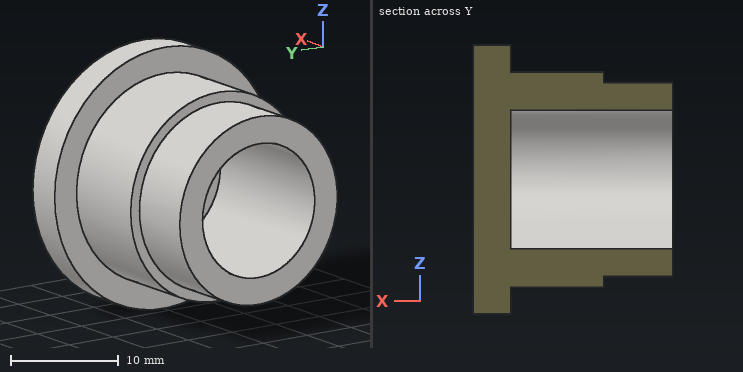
import cadquery as cq

flange_diameter = 25.0
body_diameter = 20.0
nose_diameter = 18.0
bore_diameter = 12.8

total_length = 18.5
nose_length = 6.4
flange_thickness = 3.5
body_length = total_length - nose_length - flange_thickness

bore_depth = nose_length + body_length


def cylinder_along_x(start, length, diameter):
    """Solid cylinder on the X axis, running toward +X from the given start."""
    return cq.Workplane("YZ", origin=(start, 0, 0)).circle(diameter / 2).extrude(length)


nose = cylinder_along_x(0, nose_length, nose_diameter)
body = cylinder_along_x(nose_length, body_length, body_diameter)
flange = cylinder_along_x(nose_length + body_length, flange_thickness, flange_diameter)
bore = cylinder_along_x(0, bore_depth, bore_diameter)

result = nose.union(body).union(flange).cut(bore)